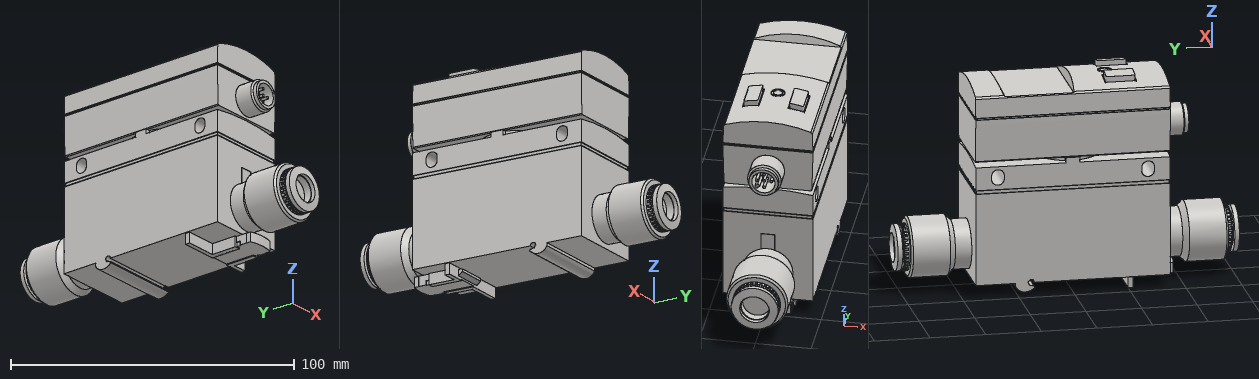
import cadquery as cq
import math


width = 32.3
half_width = width / 2
length = 70.0
half_length = length / 2
lower_seam_bottom = 33.8
lower_seam_top = 35.0
seam_inset = 0.4
shoulder_height = 43.6
saddle_peak = 44.8

bearing_diameter = 29.0
bridge_length = 5.0

upper_bottom = 45.4
upper_underside_chamfer = 0.4
upper_bottom_half_width = half_width - 0.4
upper_draft_start = 59.2
upper_seam_bottom = 61.2
upper_seam_top = 61.8
cap_side_top = 68.8
cap_side_half_width = half_width - 0.19
cap_edge_height = 69.6
cap_edge_half_width = half_width - 0.7
cap_peak = 72.2

display_floor = 69.2
display_back = 24.4
display_front = -0.4
display_slant = 1.1

button_width = 5.1
button_length = 10.4
button_offset = 8.2
button_center_y = -18.2
button_rise = 1.9
button_gap = 0.4
button_corner_radius = 0.5
button_gap_depth = 0.5
lamp_diameter = 3.3
lamp_groove_diameter = 4.8
lamp_center_y = -14.5
lamp_groove_depth = 0.4

slot_width = 4.6
slot_height = 5.7
slot_offset = 27.0
slot_center_height = 39.6

tube_axis_height = 10.9
tube_reach = 61.9
neck_diameter = 18.0
neck_end = 40.9
sleeve_diameter = 22.0
sleeve_start = 43.0
sleeve_chamfer = 0.7
sleeve_end = 57.1
collar_diameter = 17.0
collar_chamfer = 0.4
collar_end = 58.9
groove_diameter = 12.6
flange_start = 59.7
flange_diameter = 16.8
flange_rim = 61.4
bore_diameter = 10.0
bore_mouth_diameter = 10.5
bore_mouth_depth = 1.6
bore_depth = 4.6
notch_count = 32
notch_width = 0.7
notch_depth = 0.6
notch_start = 57.6

plug_axis_height = 52.5
plug_diameter = 12.0
plug_shoulder = 41.8
plug_tip_start = 42.3
plug_tip_diameter = 10.5
plug_end = 43.8
plug_recess_diameter = 8.3
plug_recess_depth = 7.4
pin_diameter = 1.0
pin_circle_radius = 2.6
pin_length = 6.2
key_width = 1.1
key_height = 1.0
key_angle = 225

panel_width = 5.0
panel_top = 25.9
panel_depth = 0.1

hook_back = 20.7
hook_lowest_y = 17.3
hook_depth = 3.3
hook_tip = 13.6
hook_back_edge = -1.1
hook_heel = (19.3, -2.7)
hook_toe = (15.3, -3.0)
hook_tip_lower = -1.9
hook_tip_upper = (13.9, -1.2)
hook_throat = (15.5, -1.0)
rail_notch_center_y = 15.0
rail_notch_width = 2.1
rail_notch_top = 1.1

clip_depth = 4.2
clip_tab_depth = 3.8
clip_bar_half_width = half_width - 0.6
clip_bar_back = -19.9
clip_bar_front = -21.8
clip_tip_y = -18.3
clip_tip_top = -0.7
clip_tip_blunt = -1.7
clip_tip_bottom = -3.1
clip_center_x = 3.3
clip_stem_width = 12.4
clip_stem_front = -32.2
clip_tab_front = -36.8
clip_tab_width = 11.1
clip_grip_width = 10.9
clip_grip_corner = -38.6
clip_grip_front = -39.5
clip_pocket_length = 1.6
clip_pocket_height = 1.6
clip_pocket_depth = 0.4
clip_slot_width = 7.8


def box(x_range, y_range, z_range):
    """Box between two limits on each axis."""
    (x0, x1), (y0, y1), (z0, z1) = x_range, y_range, z_range
    return cq.Workplane("XY").box(x1 - x0, y1 - y0, z1 - z0, centered=False).translate((x0, y0, z0))


def slab(bottom, top, inset=0.0):
    """Block-sized slab between two heights, optionally inset on all four sides."""
    half_x = half_width - inset
    half_y = half_length - inset
    return box((-half_x, half_x), (-half_y, half_y), (bottom, top))


def cylinder_y(diameter, y_start, y_end, x, z):
    """Round bar along Y."""
    bar = cq.Solid.makeCylinder(diameter / 2, y_end - y_start, cq.Vector(x, y_start, z), cq.Vector(0, 1, 0))
    return cq.Workplane(bar)


def revolve_forward(outline, axis_height):
    """Revolve (radius, reach) points about an axis that runs toward -Y at the given height."""
    profile = cq.Workplane("XY").polyline([(radius, -reach) for radius, reach in outline]).close()
    return profile.revolve(360, (0, 0), (0, 1)).translate((0, 0, axis_height))


def cap_height(x, rise=0.0):
    """Height of the cap's arched top at x, moved up by a rise."""
    sag = cap_peak - cap_edge_height
    arch_radius = (cap_edge_half_width**2 + sag**2) / (2 * sag)
    return cap_peak + rise - arch_radius + math.sqrt(arch_radius**2 - x**2)


def lower_block():
    """Lower block with a seam groove all round, an arched saddle and the bearing on top."""
    base = slab(0, lower_seam_bottom).union(slab(lower_seam_bottom, lower_seam_top, seam_inset))
    saddle = (
        cq.Workplane("XZ", origin=(0, half_length, 0))
        .moveTo(-half_width, lower_seam_top)
        .lineTo(half_width, lower_seam_top)
        .lineTo(half_width, shoulder_height)
        .threePointArc((0, saddle_peak), (-half_width, shoulder_height))
        .close()
        .extrude(length)
    )
    bearing = (
        cq.Workplane("XY", origin=(0, 0, lower_seam_top))
        .circle(bearing_diameter / 2)
        .extrude(upper_bottom - lower_seam_top)
    )
    bridge = box(
        (-half_width, half_width),
        (-bridge_length / 2, bridge_length / 2),
        (lower_seam_top, upper_bottom),
    )
    return base.union(saddle).union(bearing).union(bridge)


def upper_block():
    """Electronics part: drafted sides, chamfered lower edges and a seam groove on top."""
    foot = upper_bottom_half_width - upper_underside_chamfer
    half_outline = [
        (foot, upper_bottom),
        (upper_bottom_half_width, upper_bottom + upper_underside_chamfer),
        (half_width, upper_draft_start),
        (half_width, upper_seam_bottom),
    ]
    outline = half_outline + [(-x, z) for x, z in reversed(half_outline)]
    body = cq.Workplane("XZ", origin=(0, half_length, 0)).polyline(outline).close().extrude(length)
    return body.union(slab(upper_seam_bottom, upper_seam_top, seam_inset))


def cap():
    """Arched cap with the display recess running across its full width."""
    body = (
        cq.Workplane("XZ", origin=(0, half_length, 0))
        .moveTo(-half_width, upper_seam_top)
        .lineTo(half_width, upper_seam_top)
        .lineTo(cap_side_half_width, cap_side_top)
        .lineTo(cap_edge_half_width, cap_edge_height)
        .threePointArc((0, cap_peak), (-cap_edge_half_width, cap_edge_height))
        .lineTo(-cap_side_half_width, cap_side_top)
        .close()
        .extrude(length)
    )
    recess = (
        cq.Workplane("YZ", origin=(-half_width, 0, 0))
        .moveTo(display_front, display_floor)
        .lineTo(display_back, display_floor)
        .lineTo(display_back + display_slant, cap_peak)
        .lineTo(display_front - display_slant, cap_peak)
        .close()
        .extrude(width)
    )
    return body.cut(recess)


def button_prism(side, margin, bottom_rise, top_rise):
    """Prism whose top and bottom follow the cap's arch, on one side (-1 or 1) of the cap."""
    inner = button_offset - button_width / 2 - margin
    outer = button_offset + button_width / 2 + margin
    prism_length = button_length + 2 * margin
    prism_back = button_center_y + prism_length / 2
    return (
        cq.Workplane("XZ", origin=(0, prism_back, 0))
        .moveTo(side * inner, cap_height(inner, bottom_rise))
        .lineTo(side * inner, cap_height(inner, top_rise))
        .threePointArc(
            (side * button_offset, cap_height(button_offset, top_rise)),
            (side * outer, cap_height(outer, top_rise)),
        )
        .lineTo(side * outer, cap_height(outer, bottom_rise))
        .close()
        .extrude(prism_length)
    )


def add_buttons(body):
    """Two push buttons, each with rounded upright corners and standing in a narrow gap."""
    for side in (-1, 1):
        body = body.cut(button_prism(side, button_gap, -button_gap_depth, button_rise))
        button = button_prism(side, 0, -2 * button_gap_depth, button_rise)
        body = body.union(button.edges("|Z").fillet(button_corner_radius))
    return body


def cut_lamp_groove(body):
    """Ring groove around the flush round lamp."""
    groove = (
        cq.Workplane("XY", origin=(0, lamp_center_y, cap_peak - lamp_groove_depth))
        .circle(lamp_groove_diameter / 2)
        .circle(lamp_diameter / 2)
        .extrude(lamp_groove_depth)
    )
    return body.cut(groove)


def cut_mounting_slots(body):
    """Two upright slots through the full width."""
    slots = (
        cq.Workplane("YZ", origin=(-half_width, 0, slot_center_height))
        .pushPoints([(-slot_offset, 0), (slot_offset, 0)])
        .slot2D(slot_height, slot_width, 90)
        .extrude(width)
    )
    return body.cut(slots)


def tube_fitting():
    """Push-in tube fitting on the -Y end, with a notched collar and a release flange."""
    neck = neck_diameter / 2
    sleeve = sleeve_diameter / 2
    collar = collar_diameter / 2
    groove = groove_diameter / 2
    mouth = bore_mouth_diameter / 2
    bore = bore_diameter / 2
    bore_floor = tube_reach - bore_depth
    outline = [
        (0, half_length),
        (neck, half_length),
        (neck, neck_end),
        (sleeve, sleeve_start),
        (sleeve, sleeve_end - sleeve_chamfer),
        (sleeve - sleeve_chamfer, sleeve_end),
        (collar, sleeve_end),
        (collar, collar_end - collar_chamfer),
        (collar - collar_chamfer, collar_end),
        (groove, collar_end),
        (groove, flange_start),
        (flange_diameter / 2, flange_start),
        (flange_diameter / 2, flange_rim),
        (mouth, tube_reach),
        (mouth, tube_reach - bore_mouth_depth),
        (bore, tube_reach - bore_mouth_depth),
        (bore, bore_floor),
        (0, bore_floor),
    ]
    fitting = revolve_forward(outline, tube_axis_height)
    notches = (
        cq.Workplane("XZ", origin=(0, -notch_start, tube_axis_height))
        .polarArray(collar - notch_depth / 2, 0, 360, notch_count)
        .rect(notch_depth, notch_width)
        .extrude(collar_end - notch_start)
    )
    return fitting.cut(notches)


def plug_connector():
    """Round plug on the front face with a coding key and five contact pins."""
    outline = [
        (0, half_length),
        (plug_diameter / 2, half_length),
        (plug_diameter / 2, plug_shoulder),
        (plug_tip_diameter / 2, plug_tip_start),
        (plug_tip_diameter / 2, plug_end),
        (0, plug_end),
    ]
    plug = revolve_forward(outline, plug_axis_height)
    recess_floor = -(plug_end - plug_recess_depth)
    plug = plug.cut(cylinder_y(plug_recess_diameter, -plug_end, recess_floor, 0, plug_axis_height))

    pin_places = [(0, 0)]
    for quarter in range(4):
        angle = math.radians(90 * quarter)
        pin_places.append((pin_circle_radius * math.cos(angle), pin_circle_radius * math.sin(angle)))
    for x, z in pin_places:
        pin_tip = recess_floor - pin_length
        plug = plug.union(cylinder_y(pin_diameter, pin_tip, recess_floor, x, plug_axis_height + z))

    key = (
        cq.Workplane("XZ", origin=(0, recess_floor, plug_axis_height))
        .transformed(rotate=(0, 0, key_angle))
        .center(plug_recess_diameter / 2 - key_height / 2, 0)
        .rect(2 * key_height, key_width)
        .extrude(pin_length)
    )
    plug_core = cylinder_y(plug_tip_diameter, -plug_end, recess_floor, 0, plug_axis_height)
    return plug.union(key.intersect(plug_core))


def cut_label_panel(body):
    """Shallow label panel in the front face that runs down to the fitting's neck."""
    panel = box(
        (-panel_width / 2, panel_width / 2),
        (-half_length, -half_length + panel_depth),
        (tube_axis_height, panel_top),
    )
    return body.cut(panel.cut(cylinder_y(neck_diameter, -half_length, 0, 0, tube_axis_height)))


def rail_hook():
    """Hook across the full width that catches one edge of the rail."""
    return (
        cq.Workplane("YZ", origin=(-half_width, 0, 0))
        .moveTo(hook_back, 0)
        .lineTo(hook_back, hook_back_edge)
        .threePointArc(hook_heel, (hook_lowest_y, -hook_depth))
        .threePointArc(hook_toe, (hook_tip, hook_tip_lower))
        .lineTo(*hook_tip_upper)
        .lineTo(*hook_throat)
        .lineTo(rail_notch_center_y + rail_notch_width / 2, 0)
        .close()
        .extrude(width)
    )


def cut_rail_notch(body):
    """Round-topped notch above the hook that takes the rail edge."""
    radius = rail_notch_width / 2
    notch = (
        cq.Workplane("YZ", origin=(-half_width, 0, 0))
        .moveTo(rail_notch_center_y + radius, 0)
        .threePointArc((rail_notch_center_y, rail_notch_top), (rail_notch_center_y - radius, 0))
        .close()
        .extrude(width)
    )
    return body.cut(notch)


def make_housing():
    """The complete housing as one solid."""
    front_fitting = tube_fitting()
    body = lower_block().union(upper_block()).union(cut_lamp_groove(add_buttons(cap())))
    body = cut_mounting_slots(body)
    body = cut_label_panel(body)
    body = cut_rail_notch(body).union(rail_hook())
    body = body.union(front_fitting).union(front_fitting.mirror("XZ"))
    return body.union(plug_connector())


def make_clip():
    """T-shaped rail clip: a cross bar with a latching wedge, a stem, a tab and a rounded grip."""
    bar_sides = (-clip_bar_half_width, clip_bar_half_width)
    bar = box(bar_sides, (clip_bar_front, clip_bar_back), (-clip_depth, 0))
    stem_sides = (clip_center_x - clip_stem_width / 2, clip_center_x + clip_stem_width / 2)
    stem = box(stem_sides, (clip_stem_front, clip_bar_front), (-clip_depth, 0))
    wedge = (
        cq.Workplane("YZ", origin=(stem_sides[0], 0, 0))
        .moveTo(clip_bar_back, clip_tip_top)
        .lineTo(clip_tip_y, clip_tip_top)
        .lineTo(clip_tip_y, clip_tip_blunt)
        .lineTo(clip_bar_back, clip_tip_bottom)
        .close()
        .extrude(clip_stem_width)
    )
    tab_sides = (clip_center_x - clip_tab_width / 2, clip_center_x + clip_tab_width / 2)
    tab = box(tab_sides, (clip_tab_front, clip_stem_front), (-clip_tab_depth, 0))
    grip_left = clip_center_x - clip_grip_width / 2
    grip_right = clip_center_x + clip_grip_width / 2
    grip = (
        cq.Workplane("XY", origin=(0, 0, -clip_tab_depth))
        .moveTo(grip_left, clip_tab_front)
        .lineTo(grip_left, clip_grip_corner)
        .threePointArc((clip_center_x, clip_grip_front), (grip_right, clip_grip_corner))
        .lineTo(grip_right, clip_tab_front)
        .close()
        .extrude(clip_tab_depth)
    )
    clip = bar.union(wedge).union(stem).union(tab).union(grip)
    pocket_y = (clip_stem_front - clip_pocket_length, clip_stem_front)
    pocket_z = (-clip_tab_depth, -clip_tab_depth + clip_pocket_height)
    left, right = tab_sides
    clip = clip.cut(box((left, left + clip_pocket_depth), pocket_y, pocket_z))
    clip = clip.cut(box((right - clip_pocket_depth, right), pocket_y, pocket_z))
    slot_x = (clip_center_x - clip_slot_width / 2, clip_center_x + clip_slot_width / 2)
    return clip.cut(box(slot_x, (clip_stem_front, clip_bar_back), (-clip_depth, -clip_tab_depth)))


housing = make_housing()
clip = make_clip()
result = cq.Compound.makeCompound([housing.val(), clip.val()])